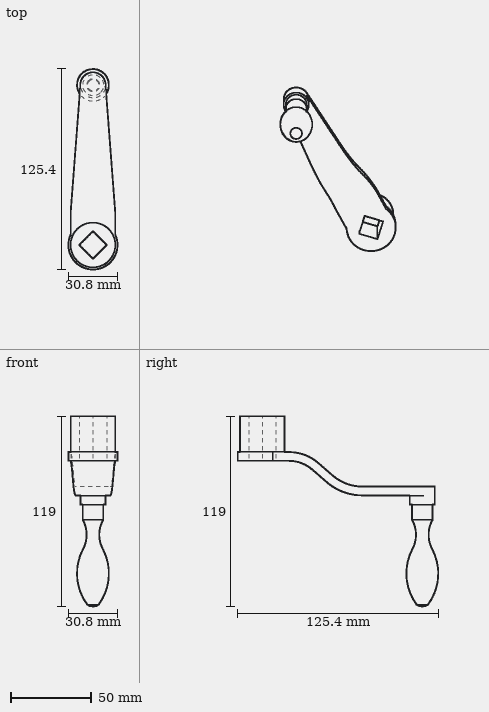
import cadquery as cq
import math

OVERALL_LENGTH = 125.4
OVERALL_HEIGHT = 119.0

HUB_DIAMETER = 28.0
HUB_HEIGHT = 22.5
FLANGE_DIAMETER = 30.8
SQUARE_SIDE = 12.0
SQUARE_TURN = 45

THICKNESS = 5.6
HANDLE_Y = 100.0
TIP_RADIUS = 7.9
TAPER_START_Y = 20.6
BEND_ANGLE = math.radians(41)
BEND_START_Y = 16.8
UPPER_BEND_RADIUS = 27.6
LOWER_BEND_RADIUS = 28.3
ARM_DROP = 21.6

COLLAR_DIAMETER = 2 * TIP_RADIUS
COLLAR_HEIGHT = 5.6
SHANK_RADIUS = 13.0 / 2
SHANK_LENGTH = 9.4
WAIST_RADIUS = 4.0
WAIST_LENGTH = 18.9
GRIP_RADIUS = OVERALL_LENGTH - FLANGE_DIAMETER / 2 - HANDLE_Y
GRIP_WIDEST_DROP = 15.0
GRIP_END_RADIUS = 3.6
GRIP_END_HEIGHT = 1.3
HANDLE_BOTTOM_Z = HUB_HEIGHT - OVERALL_HEIGHT


def arm_side_profile():
    """Side outline of the cranked arm: two parallel faces one thickness apart."""
    half = BEND_ANGLE / 2
    upper_center_z = -UPPER_BEND_RADIUS
    lower_center_z = LOWER_BEND_RADIUS - ARM_DROP
    bend_drop = (UPPER_BEND_RADIUS + LOWER_BEND_RADIUS) * (1 - math.cos(BEND_ANGLE))
    slope_run = (ARM_DROP - bend_drop) / math.tan(BEND_ANGLE)
    bend_run = (UPPER_BEND_RADIUS + LOWER_BEND_RADIUS) * math.sin(BEND_ANGLE)
    bend_end_y = BEND_START_Y + bend_run + slope_run
    arm_end_y = HANDLE_Y + TIP_RADIUS

    def upper_bend(angle, depth):
        radius = UPPER_BEND_RADIUS - depth
        return (BEND_START_Y + radius * math.sin(angle), upper_center_z + radius * math.cos(angle))

    def lower_bend(angle, depth):
        radius = LOWER_BEND_RADIUS + depth
        return (bend_end_y - radius * math.sin(angle), lower_center_z - radius * math.cos(angle))

    return (
        cq.Workplane("YZ")
        .moveTo(0, 0)
        .lineTo(*upper_bend(0, 0))
        .threePointArc(upper_bend(half, 0), upper_bend(BEND_ANGLE, 0))
        .lineTo(*lower_bend(BEND_ANGLE, 0))
        .threePointArc(lower_bend(half, 0), lower_bend(0, 0))
        .lineTo(arm_end_y, -ARM_DROP)
        .lineTo(arm_end_y, -ARM_DROP - THICKNESS)
        .lineTo(*lower_bend(0, THICKNESS))
        .threePointArc(lower_bend(half, THICKNESS), lower_bend(BEND_ANGLE, THICKNESS))
        .lineTo(*upper_bend(BEND_ANGLE, THICKNESS))
        .threePointArc(upper_bend(half, THICKNESS), upper_bend(0, THICKNESS))
        .lineTo(0, -THICKNESS)
        .close()
    )


def arm_plan():
    """Plan outline: parallel sides, then a taper tangent to the rounded tip."""
    half_width = HUB_DIAMETER / 2
    taper_run = HANDLE_Y - TAPER_START_Y
    tip_center_distance = math.hypot(half_width, taper_run)
    tip_angle = math.asin(TIP_RADIUS / tip_center_distance)
    taper_angle = math.atan2(half_width, taper_run) - tip_angle
    tangent_x = TIP_RADIUS * math.cos(taper_angle)
    tangent_y = HANDLE_Y + TIP_RADIUS * math.sin(taper_angle)
    return (
        cq.Workplane("XY")
        .moveTo(-half_width, 0)
        .lineTo(-half_width, TAPER_START_Y)
        .lineTo(-tangent_x, tangent_y)
        .threePointArc((0, HANDLE_Y + TIP_RADIUS), (tangent_x, tangent_y))
        .lineTo(half_width, TAPER_START_Y)
        .lineTo(half_width, 0)
        .close()
    )


def make_arm():
    bar = arm_side_profile().extrude(HUB_DIAMETER / 2, both=True)
    return bar.intersect(arm_plan().extrude(ARM_DROP + THICKNESS, both=True))


def make_hub():
    flange = cq.Workplane("XY").circle(FLANGE_DIAMETER / 2).extrude(-THICKNESS)
    return flange.union(cq.Workplane("XY").circle(HUB_DIAMETER / 2).extrude(HUB_HEIGHT))


def make_square_hole():
    height = HUB_HEIGHT + THICKNESS
    hole = cq.Workplane("XY").workplane(offset=-THICKNESS).rect(SQUARE_SIDE, SQUARE_SIDE).extrude(height)
    return hole.rotate((0, 0, 0), (0, 0, 1), SQUARE_TURN)


def make_handle():
    """Collar, shank, hollow waist and bulging grip revolved as one profile."""
    collar_top = -ARM_DROP - THICKNESS
    collar_bottom = collar_top - COLLAR_HEIGHT
    shank_bottom = collar_bottom - SHANK_LENGTH
    waist_bottom = shank_bottom - WAIST_LENGTH
    grip_end = HANDLE_BOTTOM_Z + GRIP_END_HEIGHT
    cap_radius = (GRIP_END_RADIUS**2 + GRIP_END_HEIGHT**2) / (2 * GRIP_END_HEIGHT)
    cap_mid_radius = GRIP_END_RADIUS / 2
    cap_mid_z = HANDLE_BOTTOM_Z + cap_radius - math.sqrt(cap_radius**2 - cap_mid_radius**2)
    profile = (
        cq.Workplane("XZ")
        .moveTo(0, collar_top)
        .lineTo(COLLAR_DIAMETER / 2, collar_top)
        .lineTo(COLLAR_DIAMETER / 2, collar_bottom)
        .lineTo(SHANK_RADIUS, collar_bottom)
        .lineTo(SHANK_RADIUS, shank_bottom)
        .threePointArc((WAIST_RADIUS, shank_bottom - WAIST_LENGTH / 2), (SHANK_RADIUS, waist_bottom))
        .threePointArc((GRIP_RADIUS, waist_bottom - GRIP_WIDEST_DROP), (GRIP_END_RADIUS, grip_end))
        .threePointArc((cap_mid_radius, cap_mid_z), (0, HANDLE_BOTTOM_Z))
        .close()
    )
    return profile.revolve(360, (0, 0, 0), (0, 1, 0)).translate((0, HANDLE_Y, 0))


result = make_hub().union(make_arm()).union(make_handle()).cut(make_square_hole())